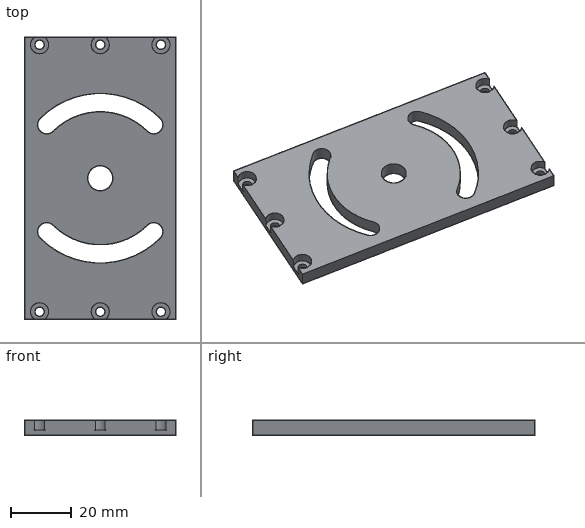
import cadquery as cq
import math

width = 50.0
length = 93.2
thickness = 5.0

pivot_diameter = 8.2

screw_diameter = 3.0
counterbore_diameter = 6.0
counterbore_depth = 3.3
screw_spacing = 20.0
screw_edge_distance = 2.5
screw_row_y = length / 2 - screw_edge_distance

slot_radius = 25.0
slot_width = 6.0
slot_half_angle = 45.0


def slot_cutter(middle_angle):
    """Round-ended arc slot centred on the given direction, in degrees."""
    inner = slot_radius - slot_width / 2
    outer = slot_radius + slot_width / 2
    end_reach = slot_width / 2

    def polar(radius, angle, tangent_shift=0.0):
        a = math.radians(angle)
        x = radius * math.cos(a) - tangent_shift * math.sin(a)
        y = radius * math.sin(a) + tangent_shift * math.cos(a)
        return x, y

    start = middle_angle - slot_half_angle
    end = middle_angle + slot_half_angle
    return (
        cq.Workplane("XY")
        .moveTo(*polar(outer, start))
        .threePointArc(polar(outer, middle_angle), polar(outer, end))
        .threePointArc(polar(slot_radius, end, end_reach), polar(inner, end))
        .threePointArc(polar(inner, middle_angle), polar(inner, start))
        .threePointArc(polar(slot_radius, start, -end_reach), polar(outer, start))
        .close()
        .extrude(thickness)
    )


plate = cq.Workplane("XY").box(width, length, thickness, centered=(True, True, False))
plate = plate.faces(">Z").workplane().hole(pivot_diameter)

screw_points = [
    (column * screw_spacing, side * screw_row_y)
    for column in (-1, 0, 1)
    for side in (-1, 1)
]
plate = (
    plate.faces(">Z")
    .workplane(origin=(0, 0, thickness))
    .pushPoints(screw_points)
    .cboreHole(screw_diameter, counterbore_diameter, counterbore_depth)
)

for direction in (90, 270):
    plate = plate.cut(slot_cutter(direction))

result = plate